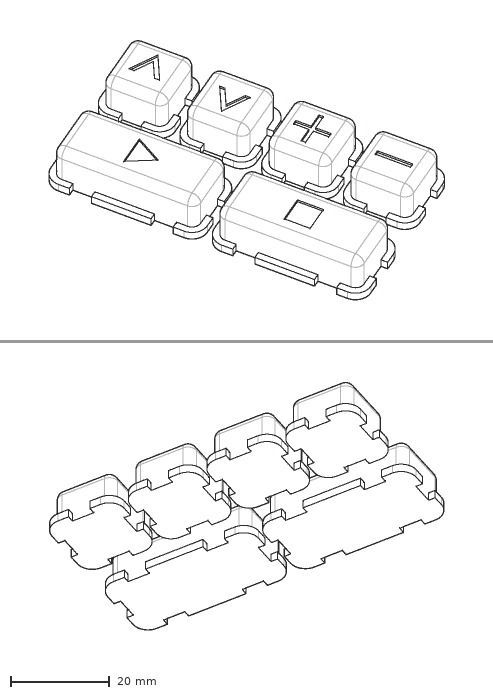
import cadquery as cq
import math


overall_length = 72.8
overall_width = 39.0
square_keys_per_row = 4
key_size = 17.0
column_pitch = (overall_length - key_size) / (square_keys_per_row - 1)
row_pitch = overall_width - key_size
long_key_length = key_size + column_pitch

key_height = 10.0
rim_width = 1.5
rim_height = 2.0
rim_notch = 5.0
cap_radius = 2.0
rim_radius = cap_radius + rim_width
rim_corner_length = (key_size - rim_notch) / 2

engraving_depth = 0.5
stroke_width = 1.0
bar_length = 8.0
stop_size = 5.9
triangle_side = 7.0
triangle_radius = triangle_side / math.sqrt(3)


def rim_notches(length):
    """Gaps cut through the rim, next to every corner piece."""
    notch_reach = length / 2 - rim_corner_length - rim_notch / 2
    if notch_reach > rim_notch / 2:
        long_side_notches = [-notch_reach, notch_reach]
    else:
        long_side_notches = [0]
    across = (
        cq.Workplane("XY")
        .pushPoints([(x, 0) for x in long_side_notches])
        .rect(rim_notch, key_size)
        .extrude(rim_height)
    )
    along = cq.Workplane("XY").rect(length, rim_notch).extrude(rim_height)
    return across.union(along)


def key_blank(length):
    """Rounded cap on a notched rim, without a symbol, centred on the Z axis."""
    rim = (
        cq.Workplane("XY")
        .rect(length, key_size)
        .extrude(rim_height)
        .edges("|Z")
        .fillet(rim_radius)
        .cut(rim_notches(length))
    )
    cap = (
        cq.Workplane("XY")
        .rect(length - 2 * rim_width, key_size - 2 * rim_width)
        .extrude(key_height)
        .edges("|Z or >Z")
        .fillet(cap_radius)
    )
    return cap.union(rim)


def engraving_plane():
    """Plane at the floor of the engraved symbols."""
    return cq.Workplane("XY", origin=(0, 0, key_height - engraving_depth))


def triangle_symbol(direction):
    """Equilateral triangle centred on the key, with one corner at the given angle in degrees."""
    corners = []
    for turn in (0, 120, 240):
        angle = math.radians(direction + turn)
        corners.append((triangle_radius * math.cos(angle), triangle_radius * math.sin(angle)))
    return engraving_plane().polyline(corners).close().extrude(engraving_depth)


def chevron_symbol(direction):
    """Triangle less its own copy moved back, which leaves two strokes that meet at the tip."""
    tip_half_angle = math.radians(30)
    tip_shift = stroke_width / math.sin(tip_half_angle)
    angle = math.radians(direction)
    shift = (-tip_shift * math.cos(angle), -tip_shift * math.sin(angle), 0)
    triangle = triangle_symbol(direction)
    return triangle.cut(triangle.translate(shift))


def minus_symbol():
    return engraving_plane().rect(bar_length, stroke_width).extrude(engraving_depth)


def plus_symbol():
    upright = engraving_plane().rect(stroke_width, bar_length).extrude(engraving_depth)
    return minus_symbol().union(upright)


def stop_symbol():
    return engraving_plane().rect(stop_size, stop_size).extrude(engraving_depth)


def key_row(length, pitch, y, symbols):
    """Keys of one length, evenly spaced in X about the centre, each engraved with its own symbol."""
    first_x = -pitch * (len(symbols) - 1) / 2
    keys = []
    for column, symbol in enumerate(symbols):
        key = key_blank(length).cut(symbol)
        keys.append(key.translate((first_x + column * pitch, y, 0)).solids().val())
    return keys


square_keys = key_row(
    key_size,
    column_pitch,
    row_pitch / 2,
    [chevron_symbol(90), chevron_symbol(270), plus_symbol(), minus_symbol()],
)

long_keys = key_row(
    long_key_length,
    2 * column_pitch,
    -row_pitch / 2,
    [triangle_symbol(0), stop_symbol()],
)

result = cq.Compound.makeCompound([*square_keys, *long_keys])